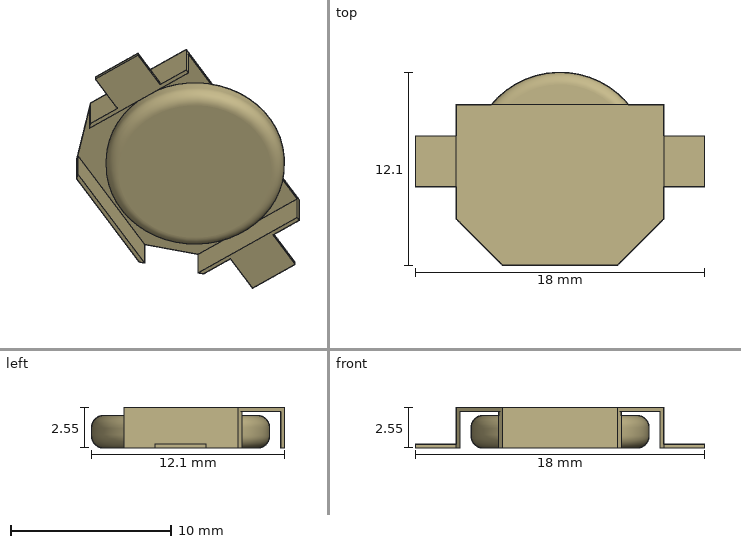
import cadquery as cq

overall_length = 18.03
holder_width = 12.96
holder_height = 2.55
holder_back_y = 3.53
holder_front_y = -6.49
sheet = 0.25
corner_bevel = 2.9
foot_width = 3.17
cell_diameter = 11.12
cell_height = 2.05
cell_edge_radius = 0.78

holder_depth = holder_back_y - holder_front_y
half_width = holder_width / 2
foot_length = (overall_length - holder_width) / 2


def make_cover():
    """Sheet cover with a top, two sides and a front; open below and at the back."""
    block = cq.Workplane("XY").box(
        holder_width, holder_depth, holder_height, centered=(True, False, False)
    )
    cavity = (
        cq.Workplane("XY")
        .box(
            holder_width - 2 * sheet,
            holder_depth - sheet,
            holder_height - sheet,
            centered=(True, False, False),
        )
        .translate((0, sheet, 0))
    )
    return block.cut(cavity).translate((0, holder_front_y, 0))


def make_corner_cut(side):
    """Triangular prism that removes one front corner; side is -1 or 1 along X."""
    return (
        cq.Workplane("XY")
        .moveTo(side * half_width, holder_front_y)
        .lineTo(side * (half_width - corner_bevel), holder_front_y)
        .lineTo(side * half_width, holder_front_y + corner_bevel)
        .close()
        .extrude(holder_height)
    )


def make_foot(side):
    """Flat solder foot that runs outward from the lower edge of one side wall."""
    length = foot_length + sheet
    center_x = side * (overall_length - length) / 2
    return (
        cq.Workplane("XY")
        .box(length, foot_width, sheet, centered=(True, True, False))
        .translate((center_x, 0, 0))
    )


def make_holder():
    """Bevelled cover with its two solder feet."""
    holder = make_cover()
    for side in (-1, 1):
        holder = holder.cut(make_corner_cut(side)).union(make_foot(side))
    return holder


def make_coin_cell():
    """Disc with rounded upper and lower rims."""
    return (
        cq.Workplane("XY")
        .circle(cell_diameter / 2)
        .extrude(cell_height)
        .edges("%CIRCLE")
        .fillet(cell_edge_radius)
    )


holder = make_holder()
coin_cell = make_coin_cell()
result = cq.Compound.makeCompound([holder.solids().val(), coin_cell.solids().val()])